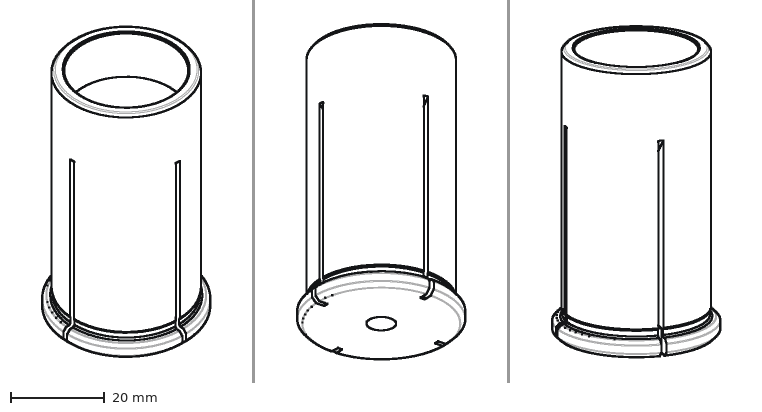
import cadquery as cq
import math

length = 64.0
body_radius = 16.0
top_chamfer_width = 0.65
top_chamfer_height = 0.8
top_rounding = 0.45

flange_radius = 18.0
flange_bottom_chamfer = 1.1
flange_top_chamfer = 0.9
flange_height = 3.9
flange_rounding = 0.3
groove_radius = 15.8
groove_bottom = 4.35
groove_top = 5.6
groove_exit_height = 0.4
groove_corner = groove_bottom - flange_height

bore_radius = 26.5 / 2
bore_depth = 11.85
mouth_chamfer = 0.3
cone_half_angle = math.radians(45)
countersink_radius = 10.0 / 2
countersink_half_angle = math.radians(30)
through_radius = 6.35 / 2

slot_count = 4
slot_width = 1.15
slot_top = 48.0
slot_inner_bottom = 5.5
slot_flange_floor_radius = 14.7


def is_flange_corner(edge):
    """Tell whether a circular edge lies outside the sleeve body."""
    return edge.radius() > body_radius + flange_rounding


def make_body():
    """Revolve the outer outline into a solid sleeve and round its chamfer corners."""
    outline = [
        (0, 0),
        (flange_radius - flange_bottom_chamfer, 0),
        (flange_radius, flange_bottom_chamfer),
        (flange_radius, flange_height - flange_top_chamfer),
        (flange_radius - flange_top_chamfer, flange_height),
        (groove_radius + groove_corner, flange_height),
        (groove_radius, groove_bottom),
        (groove_radius, groove_top),
        (body_radius, groove_top + groove_exit_height),
        (body_radius, length - top_chamfer_height),
        (body_radius - top_chamfer_width, length),
        (0, length),
    ]
    body = cq.Workplane("XZ").polyline(outline).close().revolve(360, (0, 0), (0, 1))
    body = body.faces(">Z").edges().fillet(top_rounding)
    flange_edges = body.edges("%CIRCLE").filter(is_flange_corner)
    return flange_edges.fillet(flange_rounding)


def make_bore():
    """Revolve the stepped bore that runs through the sleeve."""
    cone_top = length - bore_depth
    cone_bottom = cone_top - (bore_radius - countersink_radius) / math.tan(cone_half_angle)
    countersink_depth = (countersink_radius - through_radius) / math.tan(countersink_half_angle)
    outline = [
        (0, 0),
        (through_radius, 0),
        (through_radius, cone_bottom - countersink_depth),
        (countersink_radius, cone_bottom),
        (bore_radius, cone_top),
        (bore_radius, length - mouth_chamfer),
        (bore_radius + mouth_chamfer, length),
        (0, length),
    ]
    return cq.Workplane("XZ").polyline(outline).close().revolve(360, (0, 0), (0, 1))


def make_slot():
    """Radial slot with a 45 degree upper end and a shallow run through the flange."""
    outer = flange_radius + 0.65
    outline = [
        (slot_flange_floor_radius, 0),
        (outer, 0),
        (outer, slot_top),
        (body_radius, slot_top),
        (0, slot_top - body_radius),
        (0, slot_inner_bottom),
        (slot_flange_floor_radius, slot_inner_bottom),
    ]
    return cq.Workplane("XZ").polyline(outline).close().extrude(slot_width / 2, both=True)


result = make_body().cut(make_bore())
for index in range(slot_count):
    angle = index * 360 / slot_count
    result = result.cut(make_slot().rotate((0, 0, 0), (0, 0, 1), angle))